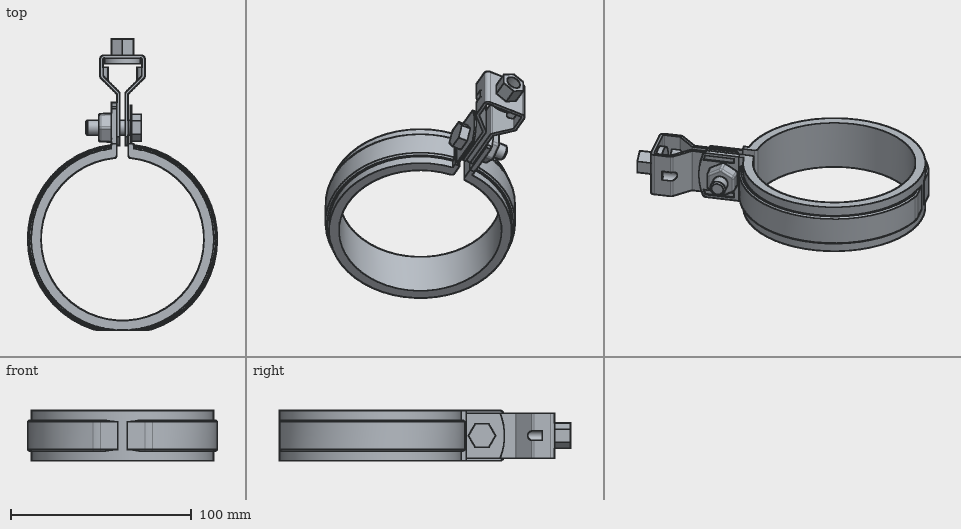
import cadquery as cq
import math

ring_inner_radius = 45.0
ring_outer_radius = 50.5
ring_height = 28.0
gap_half = 3.15
tab_thickness = 3.0
tab_outer_x = gap_half + tab_thickness
tab_top_y = 52.9
tab_inner_round = 1.5

strap_radius = 52.5
strap_height = 17.2
strap_chamfer = 1.0
strap_flat_y = -ring_outer_radius
strap_flat_half = 12.4
strap_end_half_gap = 2.7

screw_y = 61.65
screw_diameter = 8.5
screw_tip_diameter = 6.65
screw_tip_x = -20.2
head_flats = 13.0
head_height = 5.3

nut_ear_height = ring_height
nut_ear_tip_y = 75.65
nut_ear_shoulder_y = 73.0
nut_ear_corner = 1.0
washer_ear_height = 25.0
washer_ear_tip_y = 74.1
washer_ear_shoulder_y = 71.7
washer_ear_thickness = 1.0
washer_ear_inner_x = gap_half + (tab_thickness - washer_ear_thickness) / 2
washer_ear_outer_x = washer_ear_inner_x + washer_ear_thickness
screw_clearance_diameter = 9.0

pocket_depth = 1.0
pocket_bottom_y = 55.6
pocket_top_y = 73.0
pocket_slant = 1.0
pocket_inner_z = 9.4
pocket_outer_z = 12.4
pocket_round = 0.6

nut_flats = 16.0
nut_height = 7.0
nut_draft = 2.0
nut_edge_round = 1.7
nut_end_round = 1.2

sheet = 1.75
bracket_height_z = 25.0
bracket_half_width = 12.5
bracket_top_y = 101.85
bracket_shoulder_y = 89.6
leg_outer_x = gap_half
leg_tip_y = 51.75
leg_corner_y = 56.5
top_bend_radius = 2.5
waist_bend_radius = 2.0
stud_hole_diameter = 10.5

dent_groove_radius = 2.65
dent_bump_radius = 4.6
dent_top_y = 95.1

stud_top_y = 110.74
stud_flats = 12.2
stud_flange_diameter = 20.0
stud_flange_height = 3.2
stud_bore_diameter = 8.0


def box(x_min, x_max, y_min, y_max, height):
    """Block centred on Z = 0 between the given X and Y limits."""
    size_x = x_max - x_min
    size_y = y_max - y_min
    centre = ((x_min + x_max) / 2, (y_min + y_max) / 2, 0)
    return cq.Workplane("XY").box(size_x, size_y, height).translate(centre)


def disc(radius, height):
    """Cylinder about the Z axis, centred on Z = 0."""
    return cq.Workplane("XY", origin=(0, 0, -height / 2)).circle(radius).extrude(height)


def rod_x(diameter, x_min, x_max):
    """Cylinder along X on the clamp screw axis."""
    return (
        cq.Workplane("YZ", origin=(x_min, screw_y, 0))
        .circle(diameter / 2)
        .extrude(x_max - x_min)
    )


def rod_y(diameter, y_min, y_max, x=0.0):
    """Cylinder along Y at Z = 0."""
    return (
        cq.Workplane("XZ", origin=(x, y_min, 0))
        .circle(diameter / 2)
        .extrude(y_min - y_max)
    )


def round_upright_edge(body, point, radius):
    """Fillet the edge along Z whose middle is nearest to the given point."""
    nearest = cq.selectors.NearestToPointSelector(point)
    return body.edges("|Z").edges(nearest).fillet(radius)


def across_corners(flats):
    """Corner-to-corner width of a hexagon with the given width across flats."""
    return flats / math.cos(math.radians(30))


def make_lining_ring():
    """Split ring with a tab on each side of the gap and rounded inner lips."""
    tabs = box(-tab_outer_x, tab_outer_x, ring_inner_radius, tab_top_y, ring_height)
    gap = box(-gap_half, gap_half, 0, tab_top_y, ring_height)
    bore = disc(ring_inner_radius, ring_height)
    ring = disc(ring_outer_radius, ring_height).union(tabs).cut(bore).cut(gap)
    lip_y = math.sqrt(ring_inner_radius**2 - gap_half**2)
    for x in (-gap_half, gap_half):
        ring = round_upright_edge(ring, (x, lip_y, 0), tab_inner_round)
    return ring


def make_straps():
    """Band with a flattened bottom, cut at the tabs and at the flat into two halves."""
    turn = 2 * math.atan((strap_radius + strap_flat_y) / strap_flat_half)
    bend_radius = strap_radius - strap_flat_half / math.sin(turn)

    def bend_point(angle):
        x = strap_flat_half + bend_radius * math.sin(angle)
        y = strap_flat_y + bend_radius * (1 - math.cos(angle))
        return x, y

    start_x, start_y = bend_point(turn)
    middle_x, middle_y = bend_point(turn / 2)
    band = (
        cq.Workplane("XY", origin=(0, 0, -strap_height / 2))
        .moveTo(-strap_flat_half, strap_flat_y)
        .lineTo(strap_flat_half, strap_flat_y)
        .threePointArc((middle_x, middle_y), (start_x, start_y))
        .threePointArc((0, strap_radius), (-start_x, start_y))
        .threePointArc((-middle_x, middle_y), (-strap_flat_half, strap_flat_y))
        .close()
        .extrude(strap_height)
        .faces("|Z")
        .edges()
        .chamfer(strap_chamfer)
    )
    tab_slot = box(-tab_outer_x, tab_outer_x, 0, strap_radius, strap_height)
    end_slot = box(-strap_end_half_gap, strap_end_half_gap, -strap_radius, 0, strap_height)
    return band.cut(tab_slot).cut(end_slot).cut(disc(ring_outer_radius, ring_height))


def make_ear(x_min, x_max, tip_y, shoulder_y, height):
    """Plate with an arched top edge and a hole for the screw."""
    half_z = height / 2
    ear = (
        cq.Workplane("YZ", origin=(x_min, 0, 0))
        .moveTo(tab_top_y, -half_z)
        .lineTo(shoulder_y, -half_z)
        .threePointArc((tip_y, 0), (shoulder_y, half_z))
        .lineTo(tab_top_y, half_z)
        .close()
        .extrude(x_max - x_min)
    )
    return ear.cut(rod_x(screw_clearance_diameter, x_min, x_max))


def make_nut_ear():
    """Full-height ear with trimmed top corners and two pockets, touching the bracket leg."""
    ear = make_ear(-tab_outer_x, -gap_half, nut_ear_tip_y, nut_ear_shoulder_y, nut_ear_height)
    ear = ear.edges("|X").edges(">Z or <Z").edges(">Y").chamfer(nut_ear_corner)
    pocket = (
        cq.Workplane("YZ", origin=(-tab_outer_x, 0, 0))
        .moveTo(pocket_bottom_y, pocket_inner_z)
        .lineTo(pocket_top_y, pocket_inner_z)
        .lineTo(pocket_top_y - pocket_slant, pocket_outer_z)
        .lineTo(pocket_bottom_y, pocket_outer_z)
        .close()
        .extrude(pocket_depth)
        .edges("|X")
        .edges("<Y")
        .fillet(pocket_round)
    )
    return ear.cut(pocket).cut(pocket.mirror("XY"))


def make_washer_ear():
    """Thin, lower ear under the screw head."""
    return make_ear(
        washer_ear_inner_x,
        washer_ear_outer_x,
        washer_ear_tip_y,
        washer_ear_shoulder_y,
        washer_ear_height,
    )


def make_nut():
    """Drafted, rounded hexagon with its corners at +Z and -Z."""
    base_x = -tab_outer_x
    nut = (
        cq.Workplane("YZ", origin=(base_x, screw_y, 0))
        .transformed(rotate=(0, 0, 90))
        .polygon(6, across_corners(nut_flats))
        .extrude(-nut_height, taper=nut_draft)
    )
    nut = nut.edges("not #X").fillet(nut_edge_round)
    nut = nut.faces("<X").edges().fillet(nut_end_round)
    return nut.cut(rod_x(screw_diameter, base_x - nut_height, base_x))


def make_screw():
    """Shank with a chamfered tip and a hexagon head with corners at +Y and -Y."""
    tip_chamfer = (screw_diameter - screw_tip_diameter) / 2
    shank = rod_x(screw_diameter, screw_tip_x, washer_ear_outer_x).faces("<X").chamfer(tip_chamfer)
    head = (
        cq.Workplane("YZ", origin=(washer_ear_outer_x, screw_y, 0))
        .polygon(6, across_corners(head_flats))
        .extrude(head_height)
    )
    return shank.union(head)


def bracket_block(inset):
    """Solid outline of the bracket, moved inwards by the inset."""
    half_width = bracket_half_width - inset
    leg_x = leg_outer_x - inset
    shoulder_y = bracket_shoulder_y + inset * math.tan(math.radians(22.5))
    waist_y = shoulder_y - (half_width - leg_x)
    top_y = bracket_top_y - inset
    right_side = [(leg_x, leg_tip_y), (leg_x, waist_y), (half_width, shoulder_y), (half_width, top_y)]
    left_side = [(-x, y) for x, y in reversed(right_side)]
    return (
        cq.Workplane("XY", origin=(0, 0, -bracket_height_z / 2))
        .polyline(right_side + left_side)
        .close()
        .extrude(bracket_height_z)
    )


def round_bends(block, inset, shoulder_radius, waist_radius):
    """Round the two shoulder bends and the two waist bends of a bracket block."""
    waist_y = bracket_shoulder_y - bracket_half_width + leg_outer_x
    for side in (-1, 1):
        shoulder = (side * (bracket_half_width - inset), bracket_shoulder_y, 0)
        waist = (side * (leg_outer_x - inset), waist_y, 0)
        block = round_upright_edge(block, shoulder, shoulder_radius)
        block = round_upright_edge(block, waist, waist_radius)
    return block


def make_leg_end_outline():
    """Side outline, in Y and Z, that gives the legs their arched ends."""
    half_z = bracket_height_z / 2
    return (
        cq.Workplane("YZ", origin=(-bracket_half_width, 0, 0))
        .moveTo(bracket_top_y, -half_z)
        .lineTo(leg_corner_y, -half_z)
        .threePointArc((leg_tip_y, 0), (leg_corner_y, half_z))
        .lineTo(bracket_top_y, half_z)
        .close()
        .extrude(2 * bracket_half_width)
    )


def make_bracket():
    """Bent sheet with pressed side dents, arched leg ends and its two sets of holes."""
    outer = bracket_block(0).edges("|Z").edges(">Y").fillet(top_bend_radius)
    inner = bracket_block(sheet).edges("|Z").edges(">Y").fillet(top_bend_radius - sheet)
    outer = round_bends(outer, 0, waist_bend_radius, waist_bend_radius - sheet)
    inner = round_bends(inner, sheet, waist_bend_radius - sheet, waist_bend_radius)
    bracket = outer.cut(inner).intersect(make_leg_end_outline())

    dent_bottom_y = bracket_shoulder_y - bracket_half_width
    for x in (-bracket_half_width, bracket_half_width):
        bump = rod_y(2 * dent_bump_radius, dent_bottom_y, dent_top_y, x)
        groove = rod_y(2 * dent_groove_radius, dent_bottom_y, dent_top_y, x)
        bracket = bracket.union(bump.intersect(outer)).cut(groove)

    bracket = bracket.cut(rod_x(screw_clearance_diameter, -leg_outer_x, leg_outer_x))
    return bracket.cut(rod_y(stud_hole_diameter, bracket_top_y - sheet, bracket_top_y))


def make_stud():
    """Flange, neck and bored hexagon; the hexagon has corners at +Z and -Z."""
    flange_top_y = bracket_top_y - sheet
    flange = rod_y(stud_flange_diameter, flange_top_y - stud_flange_height, flange_top_y)
    neck = rod_y(stud_hole_diameter, flange_top_y, bracket_top_y)
    hexagon = (
        cq.Workplane("XZ", origin=(0, bracket_top_y, 0))
        .transformed(rotate=(0, 0, 90))
        .polygon(6, across_corners(stud_flats))
        .extrude(bracket_top_y - stud_top_y)
    )
    bore = rod_y(stud_bore_diameter, flange_top_y - stud_flange_height, stud_top_y)
    return flange.union(neck).union(hexagon).cut(bore)


lining_ring = make_lining_ring()
straps = make_straps()
nut_ear = make_nut_ear()
washer_ear = make_washer_ear()
nut = make_nut()
screw = make_screw()
bracket = make_bracket()
stud = make_stud()

result = cq.Compound.makeCompound(
    [
        lining_ring.val(),
        *straps.solids().vals(),
        nut_ear.val(),
        washer_ear.val(),
        nut.val(),
        screw.val(),
        bracket.val(),
        stud.val(),
    ]
)